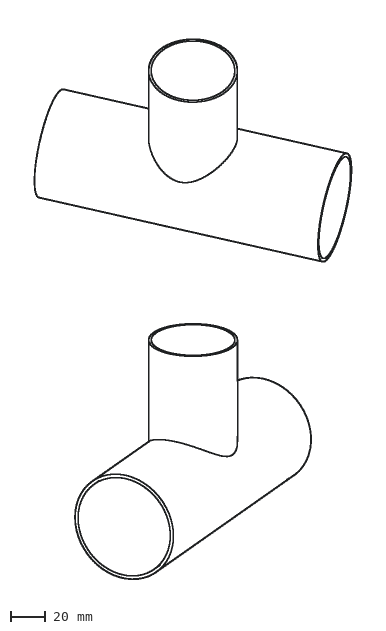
import cadquery as cq

run_length = 170.0
run_outer_diameter = 63.5
run_bore_diameter = 59.5

branch_outer_diameter = 50.8
branch_bore_diameter = 47.8
overall_height = 116.8
branch_top = overall_height - run_outer_diameter / 2


def run_cylinder(diameter):
    """Solid cylinder over the full length of the run."""
    return cq.Workplane("YZ").circle(diameter / 2).extrude(run_length / 2, both=True)


def branch_cylinder(diameter):
    """Solid cylinder from the run axis to the open end of the branch."""
    return cq.Workplane("XY").circle(diameter / 2).extrude(branch_top)


outer_body = run_cylinder(run_outer_diameter).union(branch_cylinder(branch_outer_diameter))
result = outer_body.cut(run_cylinder(run_bore_diameter)).cut(branch_cylinder(branch_bore_diameter))